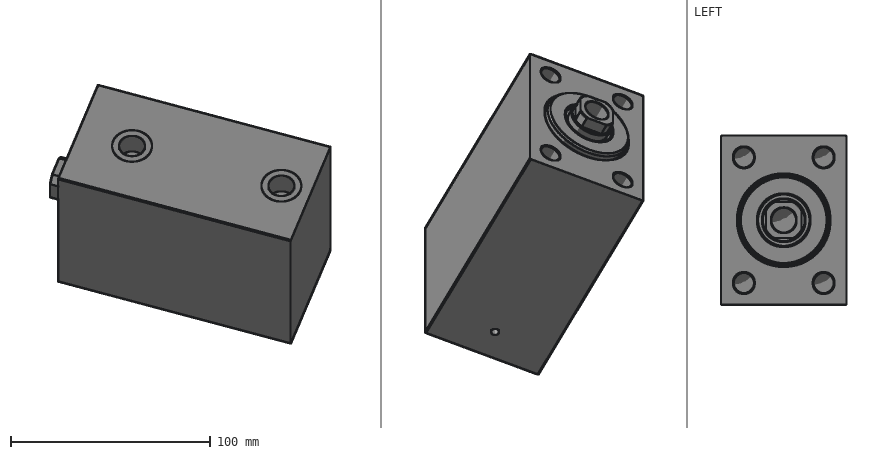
import cadquery as cq
import math


HOUSING_LENGTH = 123.0
HOUSING_WIDTH = 63.0
HOUSING_HEIGHT = 85.0
EDGE_CHAMFER = 0.5
TOP_Z = HOUSING_HEIGHT / 2

MOUNT_SPACING_Y = 40.0
MOUNT_SPACING_Z = 63.0
MOUNT_DIAMETER = 10.2
MOUNT_MOUTH_DIAMETER = 11.0
MOUNT_DEPTH = 22.0

FRONT_PORT_X = 28.5
PORT_SPACING = 79.0
REAR_PORT_X = FRONT_PORT_X + PORT_SPACING
SPOTFACE_DIAMETER = 20.0
SPOTFACE_DEPTH = 0.1
PORT_DIAMETER = 13.0
PORT_DEPTH = 13.0
OIL_DRILL_DIAMETER = 4.0

GLAND_DIAMETER = 45.0
GLAND_PROTRUSION = 3.0
GLAND_DEPTH = 40.0
GLAND_CHAMFER_LENGTH = 1.2
GLAND_FACE_DIAMETER = 43.0
SEAT_MOUTH_DIAMETER = 47.0

WIPER_STEP_DIAMETER = 27.0
WIPER_STEP_DEPTH = 0.2
WIPER_RECESS_DIAMETER = 25.8
WIPER_RECESS_DEPTH = 2.0

ROD_DIAMETER = 22.0
ROD_SHOULDER_X = -5.7
ROD_SHOULDER_CHAMFER = 0.5
ROD_TIP_X = -12.0
WRENCH_DIAMETER = 21.0
WRENCH_FLATS = 18.0
WRENCH_TIP_CHAMFER = 0.3
ROD_HOLE_DIAMETER = 12.5
ROD_HOLE_MOUTH_DIAMETER = 13.0
ROD_HOLE_DEPTH = 25.0

DRILL_POINT_HALF_ANGLE = math.radians(59)


def revolve_about_x(profile):
    """Turn a closed (x, radius) profile about the X axis."""
    return cq.Workplane("XY").polyline(profile).close().revolve(360, (0, 0, 0), (1, 0, 0))


def cylinder_x(diameter, start_x, end_x):
    """Cylinder on the X axis between two X positions."""
    return cq.Workplane("YZ", origin=(start_x, 0, 0)).circle(diameter / 2).extrude(end_x - start_x)


def drilled_hole(face_x, diameter, mouth_diameter, depth):
    """Blind hole along +X with a 45 degree mouth chamfer and a conical drill point."""
    radius = diameter / 2
    mouth_radius = mouth_diameter / 2
    point_length = radius / math.tan(DRILL_POINT_HALF_ANGLE)
    return revolve_about_x([
        (face_x, 0),
        (face_x, mouth_radius),
        (face_x + mouth_radius - radius, radius),
        (face_x + depth, radius),
        (face_x + depth + point_length, 0),
    ])


def port_cylinder(port_x, diameter, depth):
    """Cylinder cut down from the top face at a port."""
    top_plane = cq.Workplane("XY", origin=(port_x, 0, TOP_Z))
    return top_plane.circle(diameter / 2).extrude(-depth)


def make_housing():
    outline = cq.Workplane("YZ").rect(HOUSING_WIDTH, HOUSING_HEIGHT)
    housing = outline.extrude(HOUSING_LENGTH).edges("|X").chamfer(EDGE_CHAMFER)

    seat_radius = GLAND_DIAMETER / 2
    mouth_radius = SEAT_MOUTH_DIAMETER / 2
    housing = housing.cut(revolve_about_x([
        (0, 0),
        (0, mouth_radius),
        (mouth_radius - seat_radius, seat_radius),
        (GLAND_DEPTH, seat_radius),
        (GLAND_DEPTH, 0),
    ]))

    mount_hole = drilled_hole(0, MOUNT_DIAMETER, MOUNT_MOUTH_DIAMETER, MOUNT_DEPTH)
    for side_y in (-1, 1):
        for side_z in (-1, 1):
            offset = (0, side_y * MOUNT_SPACING_Y / 2, side_z * MOUNT_SPACING_Z / 2)
            housing = housing.cut(mount_hole.translate(offset))

    drill_depths = {FRONT_PORT_X: TOP_Z, REAR_PORT_X: HOUSING_HEIGHT}
    for port_x, drill_depth in drill_depths.items():
        housing = housing.cut(port_cylinder(port_x, SPOTFACE_DIAMETER, SPOTFACE_DEPTH))
        housing = housing.cut(port_cylinder(port_x, PORT_DIAMETER, PORT_DEPTH))
        housing = housing.cut(port_cylinder(port_x, OIL_DRILL_DIAMETER, drill_depth))
    return housing


def make_gland():
    face_x = -GLAND_PROTRUSION
    radius = GLAND_DIAMETER / 2
    rod_radius = ROD_DIAMETER / 2
    recess_radius = WIPER_RECESS_DIAMETER / 2
    step_radius = WIPER_STEP_DIAMETER / 2
    return revolve_about_x([
        (GLAND_DEPTH, rod_radius),
        (face_x + WIPER_RECESS_DEPTH, rod_radius),
        (face_x + WIPER_RECESS_DEPTH, recess_radius),
        (face_x + WIPER_STEP_DEPTH, recess_radius),
        (face_x + WIPER_STEP_DEPTH, step_radius),
        (face_x, step_radius),
        (face_x, GLAND_FACE_DIAMETER / 2),
        (face_x + GLAND_CHAMFER_LENGTH, radius),
        (GLAND_DEPTH, radius),
    ])


def make_rod():
    shaft = cylinder_x(ROD_DIAMETER, ROD_SHOULDER_X, GLAND_DEPTH)
    shaft = shaft.faces("<X").chamfer(ROD_SHOULDER_CHAMFER)

    wrench_round = cylinder_x(WRENCH_DIAMETER, ROD_TIP_X, ROD_SHOULDER_X)
    wrench_round = wrench_round.faces("<X").chamfer(WRENCH_TIP_CHAMFER)
    tip_plane = cq.Workplane("YZ", origin=(ROD_TIP_X, 0, 0))
    square = tip_plane.rect(WRENCH_FLATS, WRENCH_FLATS).extrude(ROD_SHOULDER_X - ROD_TIP_X)
    wrench_end = wrench_round.intersect(square)

    rod_hole = drilled_hole(ROD_TIP_X, ROD_HOLE_DIAMETER, ROD_HOLE_MOUTH_DIAMETER, ROD_HOLE_DEPTH)
    return shaft.union(wrench_end).cut(rod_hole)


housing = make_housing()
gland = make_gland()
rod = make_rod()

result = cq.Compound.makeCompound([housing.val(), gland.val(), rod.val()])